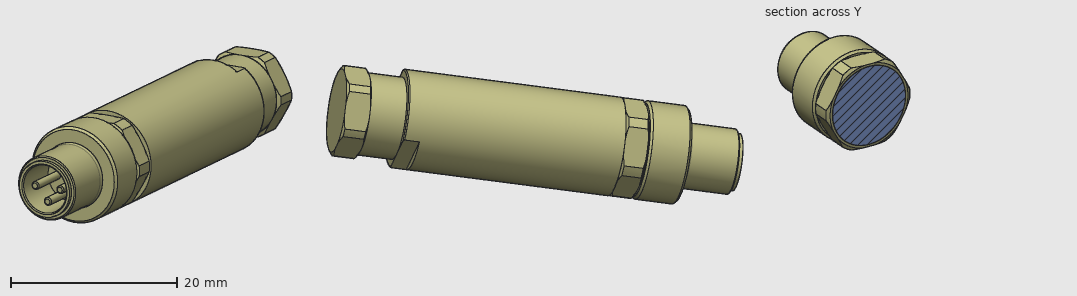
import cadquery as cq
import math

LENGTH = 49.6
TIP_Y = -LENGTH / 2
TIP_LIP = 0.5
COLLAR_START = 6.9
COLLAR_END = 12.05
GRIP_GAP = 0.1
BODY_START = 15.15
BODY_END = 42.1
NUT_START = 46.5

BODY_D = 12.0
PLUG_D = 8.0
LIP_D = 7.0
NECK_D = 10.0
SOCKET_D = 6.0

COLLAR_CHAMFER = 0.3
BODY_CHAMFER = 0.15
PLUG_CHAMFER = 0.15
SOCKET_CHAMFER = 0.15

FLARE_D = 8.2
FLARE_START = 6.45
FLARE_LAND = 0.05

NUT_FLATS = 10.0
NUT_CORNERS = 11.0
GRIP_FLATS = 10.95
GRIP_CORNERS = 11.95
UNDERCUT_D = 10.4
HEX_CHAMFER = 0.25
HEX_CHAMFER_DEPTH = 0.45

WRENCH_WIDTH = 10.0
WRENCH_LENGTH = 2.0

SOCKET_DEPTH = 5.95
PIN_D = 1.0
PIN_CHAMFER = 0.15
PIN_ROOT = 0.5
PIN_OFFSET = 1.75
PIN_TIP_DEPTH = 0.7
PIN_ANGLES = (0, 180, 270)


def plane_at(distance):
    """Plane across the axis at a distance from the tip, with its normal along +Y."""
    return cq.Plane(origin=(0, TIP_Y + distance, 0), xDir=(1, 0, 0), normal=(0, 1, 0))


def cylinder(diameter, start, end):
    return cq.Workplane(plane_at(start)).circle(diameter / 2).extrude(end - start)


def rounded_hex(flats, corners, start, end):
    """Hexagon with flats facing Z, trimmed by a cylinder with chamfered ends."""
    corner_to_corner = flats / math.cos(math.pi / 6)
    hexagon = cq.Workplane(plane_at(start)).polygon(6, corner_to_corner).extrude(end - start)
    envelope = cylinder(corners, start, end).edges().chamfer(HEX_CHAMFER, HEX_CHAMFER_DEPTH)
    return hexagon.intersect(envelope)


def make_body():
    body = cylinder(BODY_D, BODY_START, BODY_END).faces(">Y").chamfer(BODY_CHAMFER)
    envelope = cylinder(BODY_D, BODY_START, BODY_END - WRENCH_LENGTH)
    wrench_section = cq.Workplane(plane_at(BODY_END - WRENCH_LENGTH)).rect(BODY_D, WRENCH_WIDTH)
    return body.intersect(envelope.union(wrench_section.extrude(WRENCH_LENGTH)))


def make_plug():
    barrel = cylinder(PLUG_D, TIP_LIP, COLLAR_END).faces("<Y").chamfer(PLUG_CHAMFER)
    flare_length = COLLAR_START - FLARE_START
    flare = cylinder(FLARE_D, FLARE_START, COLLAR_START)
    flare = flare.faces("<Y").edges().chamfer(flare_length - FLARE_LAND, (FLARE_D - PLUG_D) / 2)
    lip = cylinder(LIP_D, 0, TIP_LIP)
    socket = cylinder(SOCKET_D, 0, SOCKET_DEPTH)
    plug = barrel.union(flare).union(lip).cut(socket)
    socket_rim = plug.faces("<Y").edges(cq.selectors.RadiusNthSelector(0))
    return socket_rim.chamfer(SOCKET_CHAMFER)


def make_pin(angle):
    pin = cylinder(PIN_D, PIN_TIP_DEPTH, SOCKET_DEPTH + PIN_ROOT).faces("<Y").chamfer(PIN_CHAMFER)
    x = PIN_OFFSET * math.cos(math.radians(angle))
    z = PIN_OFFSET * math.sin(math.radians(angle))
    return pin.translate((x, 0, z))


collar = cylinder(BODY_D, COLLAR_START, COLLAR_END).edges().chamfer(COLLAR_CHAMFER)
grip = rounded_hex(GRIP_FLATS, GRIP_CORNERS, COLLAR_END + GRIP_GAP, BODY_START - GRIP_GAP)
undercut = cylinder(UNDERCUT_D, COLLAR_END, BODY_START)
neck = cylinder(NECK_D, BODY_END, NUT_START)
nut = rounded_hex(NUT_FLATS, NUT_CORNERS, NUT_START, LENGTH)

front = make_plug().union(collar).union(undercut).union(grip)
result = front.union(make_body()).union(neck).union(nut)
for pin_angle in PIN_ANGLES:
    result = result.union(make_pin(pin_angle))